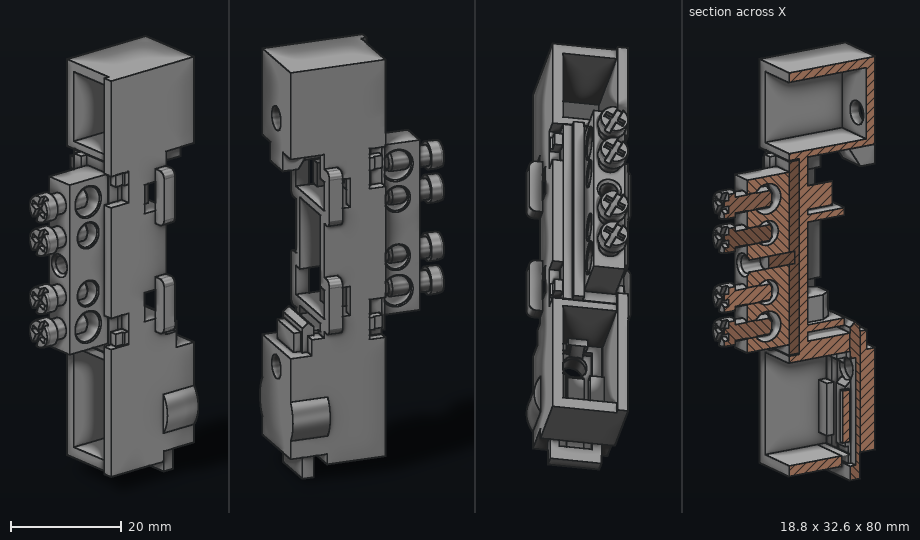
import cadquery as cq


HOUSING_WIDTH = 13.8
HOUSING_HEIGHT = 77.0
WALL = 1.95
HALF_WIDTH = HOUSING_WIDTH / 2
INNER_HALF = HALF_WIDTH - WALL
LEFT_WALL_DEPTH = 18.6
RIGHT_WALL_DEPTH = 19.65
FLOOR = 2.0

MIDDLE_BACK = 6.6
UPPER_BLOCK_Z = 60.2
HOOK_DROP = 3.7
HOOK_ROOT = 5.5
HOOK_TIP = 3.1
HOOK_HALF = 3.0
LOWER_STEP_Z = 24.6
LOWER_BLOCK_Z = 21.5
LOWER_STEP_DEPTH = 4.2
FOOT_Z = 2.0
FOOT_DEPTH = 7.15

UPPER_CHAMBER_Z = (61.6, 75.1)
LOWER_CHAMBER_Z = (2.1, 21.6)
MOUNT_HOLE_DIA = 4.5
UPPER_HOLE_Z = 65.8
LOWER_HOLE_Z = 17.6

MIDDLE_Z = 41.6
CARRIER_LENGTH = 36.9
CARRIER_GAP = 0.15
CARRIER_BACK = 16.45
SHELF = 2.0
SHELF_BACK = CARRIER_BACK - SHELF
EAR_SPAN = 18.8
EAR_OFFSET = 10.5
EAR_HEIGHT = 10.6
EAR_FRONT = 9.2
EAR_RADIUS = 1.25
WINDOW_HEIGHT = 5.6
WINDOW_FRONT = 11.7
NOTCH_BACK = 15.5
NOTCH_INNER = 10.75
LEFT_NOTCH_OUTER = 18.5
RIGHT_NOTCH_OUTER = 16.8

CROSS_RIB = 1.5
STOP_X = 3.0
STOP_Z = (50.2, 54.8)
WEDGE_Z = (28.7, 33.4)
WEDGE_TIP_HALF = 1.6
WEDGE_ROOT_HALF = 3.0
WEDGE_SHOULDER = 11.2

GRIP_Z = 9.3
GRIP_HALF = 3.78
GRIP_RISE = 1.2
GRIP_DEPTH = 7.3

LATCH_WIDTH = 9.5
LATCH_BACK = 3.2
LATCH_FRONT = 5.45
LATCH_BOTTOM = -3.0
LATCH_TOP = 27.15
LATCH_TIP = 0.95
RECESS_HALF = 3.05
RECESS_DEPTH = 1.2
RECESS_Z = (-0.2, 20.2)
TONGUE_HALF = 1.55
TONGUE_TOP = 15.5
TONGUE_RAMP = 1.0
TONGUE_BEND = 3.05

COLLAR_HALF = 4.0
COLLAR_BACK = 1.75
COLLAR_TOP = 25.2
PAD_Z = (4.4, 14.4)
PAD_GAP_HALF = 2.32
PAD_FRONT = 7.0
CATCH_HALF = 1.83
CATCH_NOSE_HALF = 1.25
CATCH_FRONT = 7.5
CATCH_RAMP = 1.3

RIDGE_X = (-3.25, -1.3)
RIDGE_FRONT = 19.9
ARM_REACH = 6.45
BARB_REACH = HALF_WIDTH
BARB_BACK = NOTCH_BACK
ARM_FRONT = 18.15
ARM_OFFSET = 15.5
ARM_HEIGHT = 2.4

BAR_WIDTH = 5.8
BAR_X = 1.83
BAR_LENGTH = 33.0
BAR_FRONT = 27.65
WIRE_HOLE_DEPTH = 23.25
INNER_POSITION = 5.65
OUTER_POSITION = 12.15
INNER_WIRE_DIA = 4.6
OUTER_WIRE_DIA = 5.7
WIRE_CHAMFER = 0.25
PIN_HOLE_DIA = 3.3
PIN_CHAMFER = 0.55

SHANK_DIA = 3.95
SCREW_TIP = 22.2
TIP_CHAMFER = 0.5
HEAD_DIA = 5.25
HEAD_BACK = 30.15
SCREW_FRONT = 32.6
HEAD_EDGE_LENGTH = 0.5
HEAD_EDGE_INSET = 0.12
CROSS_WIDTH = 1.1
CROSS_DEPTH = 1.0
CROSS_ARM_SPAN = 3.8
CROSS_ANGLE = 27.0

PIN_DIA = PIN_HOLE_DIA
PIN_FRONT = 23.0
PIN_SEAT = 1.2


def block(x, depth, z):
    """Box from three (low, high) ranges."""
    return (
        cq.Workplane("XY")
        .box(x[1] - x[0], depth[1] - depth[0], z[1] - z[0], centered=False)
        .translate((x[0], -depth[1], z[0]))
    )


def centred_block(half, depth, z):
    return block((-half, half), depth, z)


def forward_cylinder(dia, x, z, depth):
    """Cylinder along Y between two depths."""
    return (
        cq.Workplane("XZ", origin=(x, -depth[0], z))
        .circle(dia / 2)
        .extrude(depth[1] - depth[0])
    )


def side_prism(points, half):
    """Prism along X from a (depth, z) outline."""
    outline = [(-depth, z) for depth, z in points]
    return cq.Workplane("YZ").polyline(outline).close().extrude(half, both=True)


def middle_range(side, near, far):
    """Z range between two distances from MIDDLE_Z, above (1) or below (-1) it."""
    ends = sorted((MIDDLE_Z + side * near, MIDDLE_Z + side * far))
    return ends[0], ends[1]


def centre_range(centre, length):
    return centre - length / 2, centre + length / 2


def housing_shell():
    profile = [
        (0, HOUSING_HEIGHT),
        (0, UPPER_BLOCK_Z),
        (MIDDLE_BACK, UPPER_BLOCK_Z),
        (MIDDLE_BACK, LOWER_STEP_Z),
        (LOWER_STEP_DEPTH, LOWER_STEP_Z),
        (LOWER_STEP_DEPTH, LOWER_BLOCK_Z),
        (0, LOWER_BLOCK_Z),
        (0, FOOT_Z),
        (FOOT_DEPTH, FOOT_Z),
        (FOOT_DEPTH, 0),
        (LEFT_WALL_DEPTH, 0),
        (LEFT_WALL_DEPTH, HOUSING_HEIGHT),
    ]
    shell = side_prism(profile, HALF_WIDTH)
    right_lip = block((INNER_HALF, HALF_WIDTH), (LEFT_WALL_DEPTH, RIGHT_WALL_DEPTH), (0, HOUSING_HEIGHT))
    collar = centred_block(COLLAR_HALF, (COLLAR_BACK, MIDDLE_BACK), (LOWER_BLOCK_Z, COLLAR_TOP))
    hook = [
        (0, UPPER_BLOCK_Z),
        (0, UPPER_BLOCK_Z - HOOK_DROP),
        (HOOK_TIP, UPPER_BLOCK_Z - HOOK_DROP),
        (HOOK_ROOT, UPPER_BLOCK_Z),
    ]
    return shell.union(right_lip).union(collar).union(side_prism(hook, HOOK_HALF))


def ear_plate(side):
    plate = centred_block(
        EAR_SPAN / 2, (MIDDLE_BACK, EAR_FRONT), centre_range(MIDDLE_Z + side * EAR_OFFSET, EAR_HEIGHT)
    )
    return plate.edges("|Y").fillet(EAR_RADIUS)


def thumb_grips():
    radius = (GRIP_HALF**2 + GRIP_RISE**2) / (2 * GRIP_RISE)
    centre_x = HALF_WIDTH + GRIP_RISE - radius
    grips = cq.Workplane("XY")
    for side in (-1, 1):
        disc = forward_cylinder(2 * radius, side * centre_x, GRIP_Z, (0, GRIP_DEPTH))
        keep_x = sorted((side * (HALF_WIDTH - WALL / 2), side * (HALF_WIDTH + GRIP_RISE)))
        grips = grips.union(disc.intersect(block(keep_x, (0, GRIP_DEPTH), centre_range(GRIP_Z, 2 * radius))))
    return grips


def middle_cavity():
    """Seat for the carrier and, behind its shelf, the hollow that opens to the rail side."""
    seat_length = CARRIER_LENGTH + 2 * CARRIER_GAP
    seat = centred_block(INNER_HALF, (CARRIER_BACK, RIGHT_WALL_DEPTH), centre_range(MIDDLE_Z, seat_length))
    hollow = centred_block(INNER_HALF, (MIDDLE_BACK, SHELF_BACK), (COLLAR_TOP, UPPER_BLOCK_Z))
    return seat.union(hollow)


def arm_notches(side):
    depth = (NOTCH_BACK, RIGHT_WALL_DEPTH)
    left = block((-HALF_WIDTH, -INNER_HALF), depth, middle_range(side, NOTCH_INNER, LEFT_NOTCH_OUTER))
    right = block((INNER_HALF, HALF_WIDTH), depth, middle_range(side, NOTCH_INNER, RIGHT_NOTCH_OUTER))
    return left.union(right)


def cross_rib(side):
    """Wall across the hollow, level with the lower edge of a window."""
    window_bottom = MIDDLE_Z + side * EAR_OFFSET - WINDOW_HEIGHT / 2
    return centred_block(INNER_HALF, (MIDDLE_BACK, SHELF_BACK), (window_bottom - CROSS_RIB, window_bottom))


def window_stops():
    """Stop on the right wall at the upper window and tapered wedge at the lower one."""
    stop = block((STOP_X, INNER_HALF), (EAR_FRONT, SHELF_BACK), STOP_Z)
    wedge = (
        cq.Workplane("XY", origin=(0, 0, WEDGE_Z[0]))
        .polyline(
            [
                (-WEDGE_TIP_HALF, -EAR_FRONT),
                (WEDGE_TIP_HALF, -EAR_FRONT),
                (WEDGE_ROOT_HALF, -WEDGE_SHOULDER),
                (WEDGE_ROOT_HALF, -SHELF_BACK),
                (-WEDGE_ROOT_HALF, -SHELF_BACK),
                (-WEDGE_ROOT_HALF, -WEDGE_SHOULDER),
            ]
        )
        .close()
        .extrude(WEDGE_Z[1] - WEDGE_Z[0])
    )
    return stop.union(wedge)


def latch_guides():
    """Pads that hold the latch back, and the ramped catch above its hole."""
    guides = block((-INNER_HALF, -PAD_GAP_HALF), (LATCH_FRONT, PAD_FRONT), PAD_Z)
    guides = guides.union(block((PAD_GAP_HALF, INNER_HALF), (LATCH_FRONT, PAD_FRONT), PAD_Z))
    catch_z = RECESS_Z[1]
    guides = guides.union(
        centred_block(CATCH_HALF, (LATCH_FRONT, CATCH_FRONT), (catch_z, LOWER_CHAMBER_Z[1]))
    )
    nose = [(LATCH_FRONT, catch_z), (CATCH_FRONT, catch_z), (LATCH_FRONT, catch_z - CATCH_RAMP)]
    return guides.union(side_prism(nose, CATCH_NOSE_HALF))


def make_housing():
    body = housing_shell()
    for side in (-1, 1):
        body = body.union(ear_plate(side))
    body = body.union(thumb_grips())
    body = body.cut(middle_cavity())
    for side in (-1, 1):
        window_z = centre_range(MIDDLE_Z + side * EAR_OFFSET, WINDOW_HEIGHT)
        body = body.cut(centred_block(HALF_WIDTH, (MIDDLE_BACK, WINDOW_FRONT), window_z))
        body = body.cut(arm_notches(side))
        body = body.union(cross_rib(side))
    body = body.union(window_stops())
    body = body.cut(centred_block(INNER_HALF, (FLOOR, RIGHT_WALL_DEPTH), UPPER_CHAMBER_Z))
    body = body.cut(centred_block(INNER_HALF, (LATCH_FRONT, RIGHT_WALL_DEPTH), LOWER_CHAMBER_Z))
    channel = centred_block(LATCH_WIDTH / 2, (LATCH_BACK, LATCH_FRONT), (0, COLLAR_TOP))
    body = body.cut(channel).union(latch_guides())
    for hole_z in (UPPER_HOLE_Z, LOWER_HOLE_Z):
        body = body.cut(forward_cylinder(MOUNT_HOLE_DIA, 0, hole_z, (0, LATCH_BACK)))
    return body


def make_latch():
    middle_depth = (LATCH_BACK + LATCH_FRONT) / 2
    profile = [
        (LATCH_BACK, LATCH_BOTTOM),
        (LATCH_FRONT, LATCH_BOTTOM),
        (LATCH_FRONT, LATCH_TOP - LATCH_TIP),
        (middle_depth, LATCH_TOP),
        (LATCH_BACK, LATCH_TOP - LATCH_TIP),
    ]
    recess_floor = LATCH_FRONT - RECESS_DEPTH
    tongue = [
        (recess_floor, RECESS_Z[0]),
        (recess_floor + RECESS_DEPTH / 2, RECESS_Z[0]),
        (recess_floor + RECESS_DEPTH / 2, TONGUE_BEND),
        (LATCH_FRONT, TONGUE_BEND),
        (LATCH_FRONT, TONGUE_TOP - TONGUE_RAMP),
        (recess_floor, TONGUE_TOP),
    ]
    return (
        side_prism(profile, LATCH_WIDTH / 2)
        .cut(centred_block(RECESS_HALF, (recess_floor, LATCH_FRONT), RECESS_Z))
        .union(side_prism(tongue, TONGUE_HALF))
        .cut(forward_cylinder(MOUNT_HOLE_DIA, 0, LOWER_HOLE_Z, (LATCH_BACK, LATCH_FRONT)))
    )


def make_carrier():
    length = centre_range(MIDDLE_Z, CARRIER_LENGTH)
    body = centred_block(INNER_HALF, (CARRIER_BACK, LEFT_WALL_DEPTH), length)
    body = body.union(block(RIDGE_X, (LEFT_WALL_DEPTH, RIDGE_FRONT), length))
    for side in (-1, 1):
        arm_z = centre_range(MIDDLE_Z + side * ARM_OFFSET, ARM_HEIGHT)
        body = body.union(centred_block(ARM_REACH, (CARRIER_BACK, ARM_FRONT), arm_z))
        for barb_x in ((-BARB_REACH, -INNER_HALF), (INNER_HALF, BARB_REACH)):
            body = body.union(block(barb_x, (BARB_BACK, CARRIER_BACK), arm_z))
    pin_seat = (LEFT_WALL_DEPTH - PIN_SEAT, LEFT_WALL_DEPTH)
    return body.cut(forward_cylinder(PIN_DIA, BAR_X, MIDDLE_Z, pin_seat))


def screw_heights():
    offsets = (OUTER_POSITION, INNER_POSITION, -INNER_POSITION, -OUTER_POSITION)
    return [MIDDLE_Z + offset for offset in offsets]


def wire_hole(dia, z):
    """Cutter along X, widened by a chamfer at both faces of the bar."""
    half = BAR_WIDTH / 2
    radius = dia / 2
    mouth = radius + WIRE_CHAMFER
    outline = [
        (-half, 0),
        (-half, mouth),
        (-half + WIRE_CHAMFER, radius),
        (half - WIRE_CHAMFER, radius),
        (half, mouth),
        (half, 0),
    ]
    cutter = cq.Workplane("XY").polyline(outline).close().revolve(360, (0, 0, 0), (1, 0, 0))
    return cutter.translate((BAR_X, -WIRE_HOLE_DEPTH, z))


def make_bar():
    bar_x = centre_range(BAR_X, BAR_WIDTH)
    body = block(bar_x, (LEFT_WALL_DEPTH, BAR_FRONT), centre_range(MIDDLE_Z, BAR_LENGTH))
    pin_hole = forward_cylinder(PIN_HOLE_DIA, BAR_X, MIDDLE_Z, (LEFT_WALL_DEPTH, BAR_FRONT))
    body = body.cut(pin_hole)
    body = body.faces("<Y").edges("%CIRCLE").chamfer(PIN_CHAMFER)
    for z in screw_heights():
        is_outer = abs(z - MIDDLE_Z) > (INNER_POSITION + OUTER_POSITION) / 2
        body = body.cut(forward_cylinder(SHANK_DIA, BAR_X, z, (SCREW_TIP, BAR_FRONT)))
        body = body.cut(wire_hole(OUTER_WIRE_DIA if is_outer else INNER_WIRE_DIA, z))
    return body


def cross_slot(width, length, z):
    """Slot cutter in the face of a screw head, tilted by CROSS_ANGLE."""
    return (
        cq.Workplane("XZ", origin=(BAR_X, -SCREW_FRONT + CROSS_DEPTH, z))
        .transformed(rotate=(0, 0, -CROSS_ANGLE))
        .rect(width, length)
        .extrude(CROSS_DEPTH)
    )


def make_screw(z):
    """Screw with one slot across the whole head and a shorter one crossing it."""
    shank = forward_cylinder(SHANK_DIA, BAR_X, z, (SCREW_TIP, HEAD_BACK)).faces(">Y").chamfer(TIP_CHAMFER)
    head = forward_cylinder(HEAD_DIA, BAR_X, z, (HEAD_BACK, SCREW_FRONT))
    head = head.faces("<Y").chamfer(HEAD_EDGE_LENGTH, HEAD_EDGE_INSET)
    recess = cross_slot(CROSS_WIDTH, HEAD_DIA, z).union(cross_slot(CROSS_ARM_SPAN, CROSS_WIDTH, z))
    return shank.union(head).cut(recess)


def make_fixing_pin():
    return forward_cylinder(PIN_DIA, BAR_X, MIDDLE_Z, (LEFT_WALL_DEPTH - PIN_SEAT, PIN_FRONT))


housing = make_housing()
latch = make_latch()
carrier = make_carrier()
bar = make_bar()
screws = [make_screw(z) for z in screw_heights()]
fixing_pin = make_fixing_pin()

bodies = [housing, latch, carrier, bar, *screws, fixing_pin]
result = cq.Compound.makeCompound([body.solids().val() for body in bodies])